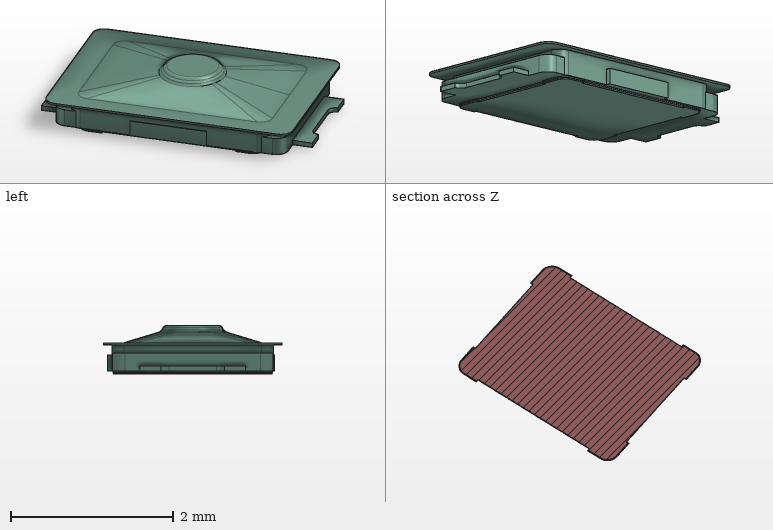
import cadquery as cq

total_height = 0.6
base_height = 0.035
terminal_top = 0.095
side_tab_top = 0.235
end_block_top = 0.255
flange_bottom = 0.357
flange_top = 0.38
hood_top = 0.515
button_cone_bottom = 0.54

body_length, body_width = 2.59, 1.995
end_block_length, end_block_width = 2.99, 1.975
flange_length, flange_width = 3.185, 2.2
hood_length, hood_width = 2.5, 1.7
corner_radius = 0.15

base_length, base_width = 2.395, 1.967
base_layer_height = base_height / 2
base_bevel_angle = 25.0
front_recess_length = 1.715
end_recess_width = 1.183
recess_depth = 0.035

terminal_length, terminal_width = 3.5, 1.302
terminal_notch_width = 0.785
terminal_notch_depth = 0.098

side_tab_length = 0.987
front_tab_reach = 1.008
back_tab_reach = 1.055

button_foot_radius = 0.415
button_foot_sagitta = 0.005
button_cone_radius = 0.385
button_top_radius = 0.32
button_edge_height = 0.57
button_edge_radius = 0.365


def rounded_plate(length, width, bottom, top):
    """Plate with rounded upright corners between two heights."""
    return (
        cq.Workplane("XY", origin=(0, 0, bottom))
        .rect(length, width)
        .extrude(top - bottom)
        .edges("|Z")
        .fillet(corner_radius)
    )


def rounded_outline(length, width):
    """Flat rectangle with rounded corners."""
    return cq.Sketch().rect(length, width).vertices().fillet(corner_radius)


def side_recesses():
    """Flat areas taken out of the middle of each side of the base plate."""
    return (
        cq.Sketch()
        .push([(0, base_width / 2), (0, -base_width / 2)])
        .rect(front_recess_length, 2 * recess_depth)
        .reset()
        .push([(base_length / 2, 0), (-base_length / 2, 0)])
        .rect(2 * recess_depth, end_recess_width)
        .reset()
    )


def make_base():
    """Upper layer with upright recess walls on a lower layer bevelled all round."""
    full_outline = rounded_outline(base_length, base_width)
    recessed_outline = full_outline.copy().reset().face(side_recesses(), mode="s")
    upper_layer = (
        cq.Workplane("XY", origin=(0, 0, base_height))
        .placeSketch(full_outline)
        .extrude(-base_layer_height, taper=base_bevel_angle)
    )
    upper_recesses = (
        cq.Workplane("XY", origin=(0, 0, base_height))
        .placeSketch(side_recesses())
        .extrude(-base_layer_height)
    )
    lower_layer = (
        cq.Workplane("XY", origin=(0, 0, base_height - base_layer_height))
        .placeSketch(recessed_outline)
        .extrude(-base_layer_height, taper=base_bevel_angle)
    )
    return upper_layer.cut(upper_recesses).union(lower_layer)


def make_terminals():
    """Flat strip through the body with a round-cornered notch in each end."""
    strip_height = terminal_top - base_height
    strip = (
        cq.Workplane("XY", origin=(0, 0, base_height))
        .rect(terminal_length, terminal_width)
        .extrude(strip_height)
    )
    notches = (
        cq.Workplane("XY", origin=(0, 0, base_height))
        .pushPoints([(terminal_length / 2, 0), (-terminal_length / 2, 0)])
        .slot2D(terminal_notch_width, 2 * terminal_notch_depth, 90)
        .extrude(strip_height)
    )
    return strip.cut(notches)


def make_side_tabs():
    """One bar across the body whose ends stand proud of the long sides."""
    return cq.Workplane("XY").box(
        side_tab_length,
        front_tab_reach + back_tab_reach,
        side_tab_top - base_height,
        centered=(True, False, False),
    ).translate((0, -front_tab_reach, base_height))


def make_hood():
    """Sloped cover blending from a rounded rectangle to the foot of the button."""
    return (
        cq.Workplane("XY", origin=(0, 0, flange_top))
        .placeSketch(
            rounded_outline(hood_length, hood_width),
            cq.Sketch().circle(button_foot_radius).moved(
                cq.Location(cq.Vector(0, 0, hood_top - flange_top))
            ),
        )
        .loft(ruled=True)
    )


def make_button():
    """Turned button: hollow foot curve, steep cone and rounded top edge."""
    return (
        cq.Workplane("XZ")
        .moveTo(0, flange_top)
        .lineTo(button_foot_radius, flange_top)
        .lineTo(button_foot_radius, hood_top)
        .sagittaArc((button_cone_radius, button_cone_bottom), button_foot_sagitta)
        .lineTo(button_edge_radius, button_edge_height)
        .tangentArcPoint((button_top_radius, total_height), relative=False)
        .lineTo(0, total_height)
        .close()
        .revolve(360, (0, 0, 0), (0, 1, 0))
    )


result = (
    rounded_plate(body_length, body_width, base_height, flange_bottom)
    .union(rounded_plate(end_block_length, end_block_width, base_height, end_block_top))
    .union(rounded_plate(flange_length, flange_width, flange_bottom, flange_top))
    .union(make_base())
    .union(make_terminals())
    .union(make_side_tabs())
    .union(make_hood())
    .union(make_button())
)